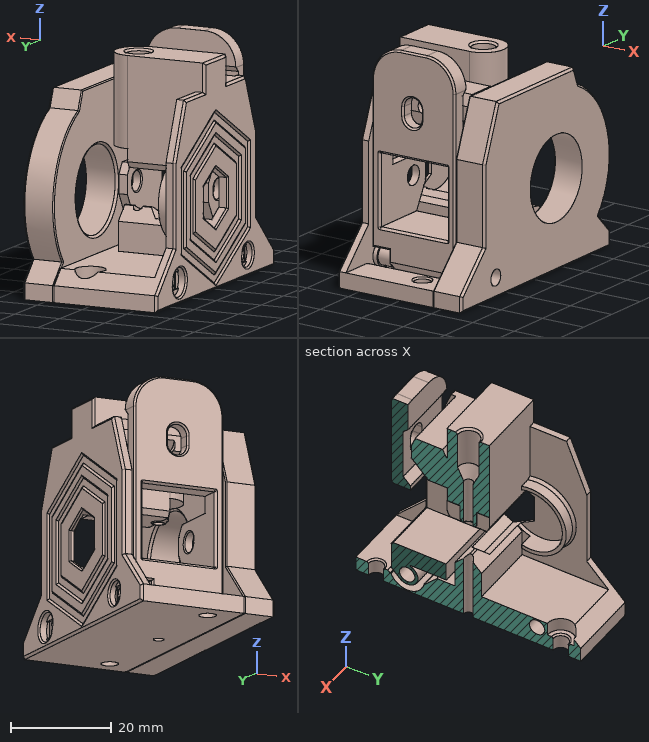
import cadquery as cq
import math

plate_t = 2.0
housing_w = 23.0
total_w = 29.96
half_length = 26.51
foot_z = 3.5
waist_y = 18.4
waist_z = foot_z + half_length - waist_y
shoulder_z = 29.0
top_y = 13.6
top_z = 41.0
edge = 0.5
fine_edge = 0.25

filament_x = 17.2
filament_d = 2.15
gear_y, gear_z = 7.11, 19.45
screw_x = 12.35
screw_z = 36.6
screw_d = 3.5
hole_edge = 0.35
pivot_y, pivot_z = -14.4, 4.35
rear_screw_y = 16.2


def box(x0, x1, y0, y1, z0, z1):
    return cq.Workplane("XY").box(x1 - x0, y1 - y0, z1 - z0, centered=False).translate((x0, y0, z0))


def along_x(points, x0, x1):
    """Extrude a (y, z) polygon from x0 to x1."""
    return cq.Workplane("YZ").polyline(points).close().extrude(x1 - x0).translate((x0, 0, 0))


def cylinder_x(d, y, z, x0, x1):
    return cq.Workplane("YZ").center(y, z).circle(d / 2).extrude(x1 - x0).translate((x0, 0, 0))


def cylinder_z(d, x, y, z0, z1):
    return cq.Workplane("XY").center(x, y).circle(d / 2).extrude(z1 - z0).translate((0, 0, z0))


def cone(point, direction, d0, d1, height):
    """Truncated cone from d0 at the point to d1 at the far end."""
    solid = cq.Solid.makeCone(d0 / 2, d1 / 2, height, cq.Vector(*point), cq.Vector(*direction))
    return cq.Workplane(obj=solid)


def mirror_half(points):
    """Outline points on the +Y half, from top to bottom, completed on the -Y half."""
    return points + [(-y, z) for y, z in reversed(points)]


upright_half = [
    (top_y, top_z), (waist_y, shoulder_z), (waist_y, waist_z), (half_length, foot_z), (half_length, 0),
]

arm_half = 5.0
arm_top = 47.0
arm_bottom = 28.0
floor_z = 6.5
cradle_r = 4.0
cradle_edge = 0.55
hex_z = 18.67
hex_bore_r = 6.2
groove_rings = [(17.92, 15.3), (13.25, 10.6)]
groove_depth = 0.4
groove_slope = 0.5
boss_x = 5.15
bearing_d = 15.0
bearing_seat_x = 1.0
guide_low_x, guide_low_z = 12.5, 13.7


def hexagon(corner_r):
    """Hexagon points with corners at top and bottom, in (y, z)."""
    angles = [math.radians(90 + 60 * i) for i in range(6)]
    return [(corner_r * math.cos(a), hex_z + corner_r * math.sin(a)) for a in angles]


def hex_taper(outer_r, inner_r, depth):
    """Hexagon frustum going into the plate from x = 0."""
    frustum = cq.Workplane("YZ").polyline(hexagon(outer_r)).close()
    return frustum.workplane(offset=depth).polyline(hexagon(inner_r)).close().loft(ruled=True)


def hex_groove(outer_r, inner_r):
    """Six-sided groove whose flanks slope toward its floor."""
    return hex_taper(outer_r, outer_r - groove_slope, groove_depth).cut(
        hex_taper(inner_r, inner_r + groove_slope, groove_depth)
    )


def side_plate():
    tab = [(arm_half, arm_top), (arm_half, top_z)]
    plate = along_x(mirror_half(tab + upright_half), 0, plate_t)
    plate = plate.faces("<X").edges().chamfer(edge)
    for outer_r, inner_r in groove_rings:
        plate = plate.cut(hex_groove(outer_r, inner_r))
    return plate


def base():
    rise = floor_z - foot_z
    cradle_back = pivot_y + cradle_r
    profile = [
        (-half_length, 0), (-half_length, foot_z), (cradle_back, foot_z), (cradle_back + rise, floor_z),
        (half_length - rise, floor_z), (half_length, foot_z), (half_length, 0),
    ]
    return along_x(profile, plate_t, housing_w)


def cradle():
    """Trough for the lever barrel with a bevelled front lip."""
    trough = cylinder_x(2 * cradle_r, pivot_y, pivot_z, plate_t, housing_w)
    lip_y = pivot_y - cradle_r
    lip = [(lip_y - cradle_edge, foot_z), (pivot_y, foot_z), (pivot_y, foot_z - cradle_edge),
           (lip_y, foot_z - cradle_edge)]
    return trough.union(along_x(lip, plate_t, housing_w))


def screw_socket(front_y):
    """Blind round socket whose end is a 45 degree ramp."""
    depth = 3.0
    ramp_top = screw_z + 1.0
    bore = cq.Workplane("XZ").center(screw_x, screw_z).circle(screw_d / 2).extrude(-depth)
    below_ramp = along_x(
        [(front_y, ramp_top), (front_y + depth, ramp_top - depth), (front_y, ramp_top - depth)], 0, housing_w
    )
    return bore.translate((0, front_y, 0)).intersect(below_ramp)


def tension_bar():
    """Crossbar over the lever that carries the tension screw."""
    front_y = -13.5
    slope_drop = 2.4
    slope_run = 1.0
    bottom_z = 31.3
    undercut = 4.1
    back_y = -6.0
    back_bevel = 0.85
    bevel_drop = 2 * back_bevel
    profile = [
        (back_y, top_z), (front_y + slope_run, top_z), (front_y, top_z - slope_drop),
        (front_y, bottom_z + undercut), (front_y + undercut, bottom_z), (-arm_half, bottom_z),
        (-arm_half, top_z - bevel_drop), (back_y + back_bevel, top_z - bevel_drop),
    ]
    bar = along_x(profile, plate_t, housing_w)
    return bar.cut(screw_socket(front_y))


def filament_arm():
    upper = box(plate_t, filament_x, -arm_half, arm_half, arm_bottom, arm_top)
    upper = upper.union(cylinder_z(2 * arm_half, filament_x, 0, arm_bottom, arm_top))
    keel_bevel = 1.25
    keel_z = 24.1
    keel_half = arm_half - keel_bevel / 2
    keel = along_x(
        mirror_half([(arm_half, arm_bottom), (arm_half, keel_z + keel_bevel), (keel_half, keel_z)]),
        plate_t, filament_x,
    )
    tube_d = 4.0
    tube_edge = 0.7
    tip_z = 23.9
    tube = cylinder_z(tube_d, filament_x, 0, tip_z, arm_bottom).faces("<Z").chamfer(tube_edge)
    return upper.union(keel).union(tube)


def lower_guide():
    """Roof-shaped filament guide on the floor, lower near the plate."""
    ridge_z = 15.45
    ridge_half = 0.3
    eave_z = 12.6
    eave_half = ridge_half + ridge_z - eave_z
    end_x = 20.2
    roof = along_x(
        mirror_half([(ridge_half, ridge_z), (eave_half, eave_z), (eave_half, floor_z)]), plate_t, end_x
    )
    low_step = box(plate_t, end_x, -eave_half, eave_half, guide_low_z, ridge_z)
    return roof.cut(low_step.intersect(ramp_zone()))


def ramp_zone():
    """Space beside the plate that ends in 45 degree ramps toward the filament."""
    bottom = hex_z - hex_bore_r
    top = hex_z + hex_bore_r
    ramp_x = guide_low_x - (guide_low_z - bottom)
    outline = [(0, bottom), (ramp_x, bottom), (ramp_x + hex_bore_r, hex_z), (ramp_x, top), (0, top)]
    return cq.Workplane("XZ").polyline(outline).close().extrude(hex_bore_r, both=True)


def hex_passage():
    """Hexagon hole through the plate, carried on until the guide ramps."""
    passage = along_x(hexagon(hex_bore_r), 0, filament_x).intersect(ramp_zone())
    return passage.union(hex_taper(hex_bore_r + hole_edge, hex_bore_r, hole_edge))


def bearing_boss():
    """Boss inside the plate for the gear shaft bearing, flat beside the filament arm."""
    boss_d = 16.8
    foot = 0.8
    boss = cylinder_x(boss_d, gear_y, gear_z, plate_t, boss_x)
    boss = boss.union(cone((plate_t, gear_y, gear_z), (1, 0, 0), boss_d + foot, boss_d, foot))
    return boss.cut(box(plate_t, boss_x, gear_y - boss_d, arm_half, gear_z - boss_d, gear_z + boss_d))


def pivot_boss():
    """Stepped boss on the plate around the pivot hole, beside the lever barrel."""
    collar_d, collar_x = 5.0, 3.0
    neck_d, neck_x = 4.3, 6.1
    collar = cylinder_x(collar_d, pivot_y, pivot_z, plate_t, collar_x)
    return collar.union(cylinder_x(neck_d, pivot_y, pivot_z, plate_t, neck_x))


def filament_bore():
    """Tube socket from the top, tapering to the filament hole."""
    socket_d = 5.0
    socket_z = 38.0
    taper = 3.0
    mouth = 0.45
    bore = cylinder_z(filament_d, filament_x, 0, 0, arm_top)
    bore = bore.union(cylinder_z(socket_d, filament_x, 0, socket_z, arm_top))
    bore = bore.union(cone((filament_x, 0, socket_z), (0, 0, -1), socket_d, filament_d, taper))
    return bore.union(cone((filament_x, 0, arm_top), (0, 0, -1), socket_d + 2 * mouth, socket_d, mouth))


def mount_screw(y, seat_d):
    """Vertical foot hole with a flat seat at foot height."""
    hole = cylinder_z(screw_d, filament_x, y, 0, foot_z)
    hole = hole.union(cylinder_z(seat_d, filament_x, y, foot_z, floor_z))
    mouth_d = screw_d + 2 * hole_edge
    return hole.union(cone((filament_x, y, foot_z), (0, 0, -1), mouth_d, screw_d, hole_edge))


def side_screw(y, head_d, head_depth):
    """Hole along X: head recess, then a slot and a square step, then the shank hole."""
    step = 0.3
    head = cylinder_x(head_d, y, pivot_z, 0, head_depth)
    mouth = cone((0, y, pivot_z), (1, 0, 0), head_d + 2 * hole_edge, head_d, hole_edge)
    half = screw_d / 2
    slot = box(0, head_depth + step, y - head_d / 2, y + head_d / 2, pivot_z - half, pivot_z + half)
    slot = slot.intersect(cylinder_x(head_d, y, pivot_z, 0, head_depth + step))
    square = box(0, head_depth + 2 * step, y - half, y + half, pivot_z - half, pivot_z + half)
    shank = cylinder_x(screw_d, y, pivot_z, 0, housing_w)
    return head.union(mouth).union(slot).union(square).union(shank)


mount_y = 21.75
seat_d = 6.2
rear_head_d, rear_head_depth = 6.0, 1.5
pivot_head_d, pivot_head_depth = 5.0, 1.2

housing = side_plate().union(bearing_boss())
housing = housing.cut(cylinder_x(bearing_d, gear_y, gear_z, bearing_seat_x, boss_x))
housing = housing.union(base()).union(tension_bar()).union(filament_arm()).union(lower_guide())
housing = housing.cut(cradle()).union(pivot_boss()).cut(filament_bore())
housing = housing.cut(hex_passage())
housing = housing.cut(mount_screw(mount_y, seat_d)).cut(mount_screw(-mount_y, seat_d))
housing = housing.cut(side_screw(rear_screw_y, rear_head_d, rear_head_depth))
housing = housing.cut(side_screw(pivot_y, pivot_head_d, pivot_head_depth))

gear_case_r = half_length - gear_y
gear_hole_d = 18.4
gear_hole_edge = 0.5


def build_cover():
    body = along_x(mirror_half(upright_half), housing_w, total_w)
    body = body.union(cylinder_x(2 * gear_case_r, gear_y, gear_z, housing_w, total_w))
    body = body.faces("<X").edges().chamfer(fine_edge)
    body = body.faces(">X").edges().chamfer(edge)
    body = body.cut(cylinder_x(gear_hole_d, gear_y, gear_z, housing_w, total_w))
    mouth_d = gear_hole_d + 2 * gear_hole_edge
    body = body.cut(cone((housing_w, gear_y, gear_z), (1, 0, 0), mouth_d, gear_hole_d, gear_hole_edge))
    return body.cut(cylinder_x(screw_d, pivot_y, pivot_z, housing_w, total_w))


cover = build_cover()

lever_x0, lever_x1 = 2.6, 22.6
lever_edge = 0.4
lever_front = -18.16
lever_back = -15.3
lever_top = 49.25
lever_corner = 6.9
pad_back = -14.15
pad_z = 42.5
frame_back = -13.6
frame_z = 28.0
barrel_d = 5.2
shelf_y, shelf_z = -5.2, 7.0
notch_x, notch_z = 6.65, 6.86
window_x0, window_x1 = 4.6, 20.7
window_z0, window_z1 = 11.3, 26.8
axle_y, axle_z = -6.3, 19.06
axle_d = 4.2


def lever_blade():
    """Side profile of the blade, trimmed to its rounded front outline."""
    pad_step = pad_back - lever_back
    frame_step = frame_back - lever_back
    tangent = barrel_d / 2 * math.sqrt(0.5)
    bevel_y, bevel_z = pivot_y - tangent, pivot_z - tangent
    blade = along_x(
        [(pivot_y, pivot_z), (bevel_y, bevel_z), (lever_front, bevel_z + bevel_y - lever_front),
         (lever_front, lever_top), (pad_back, lever_top), (pad_back, pad_z),
         (lever_back, pad_z - pad_step), (lever_back, frame_z + frame_step), (frame_back, frame_z),
         (frame_back, shelf_z)],
        lever_x0, lever_x1,
    )
    blade = blade.edges("|Y and >Z").fillet(lever_corner)
    blade = blade.cut(box(lever_x0, notch_x, lever_front, frame_back, 0, notch_z))
    return blade.faces("<Y").edges("not <Z").chamfer(lever_edge)


def ear(x0, x1):
    """Axle lug that tapers toward the filament."""
    nose_y = -1.95
    nose_half = 2.0
    lug_y, lug_z = -3.45, 23.3
    outline = [
        (nose_y, axle_z + nose_half), (lug_y, lug_z), (frame_back, lug_z), (frame_back, window_z0),
        (shelf_y, window_z0), (nose_y, axle_z - nose_half),
    ]
    lug = along_x(outline, x0, x1).cut(cylinder_x(axle_d, axle_y, axle_z, x0, x1))
    return lug.cut(cone((x0, axle_y, axle_z), (1, 0, 0), axle_d + 2 * fine_edge, axle_d, fine_edge))


def window():
    opening = box(window_x0, window_x1, lever_front, frame_back, window_z0, window_z1)
    mouth = opening.faces("<Y").wires().toPending().workplane().extrude(edge, taper=-45)
    return opening.union(mouth.translate((0, edge, 0)))


def screw_slot():
    slot_d = 4.3
    slot_travel = 2.0
    slot_length = slot_d + slot_travel
    plane = cq.Workplane("XZ", origin=(screw_x, lever_front, screw_z))
    slot = plane.slot2D(slot_length, slot_d, 90).extrude(lever_front - pad_back)
    mouth = plane.workplane(offset=-lever_edge).slot2D(slot_length, slot_d, 90).extrude(lever_edge, taper=-45)
    return slot.union(mouth)


def build_lever():
    body = lever_blade().union(cylinder_x(barrel_d, pivot_y, pivot_z, notch_x, lever_x1))
    body = body.union(box(lever_x0, lever_x1, frame_back, shelf_y, shelf_z, window_z0))
    body = body.cut(window()).cut(screw_slot())
    body = body.union(ear(lever_x0, window_x0)).union(ear(window_x1, lever_x1))
    return body.cut(cylinder_x(screw_d, pivot_y, pivot_z, notch_x, lever_x1))


lever = build_lever()

result = cq.Compound.makeCompound([housing.val(), cover.val(), lever.val()])